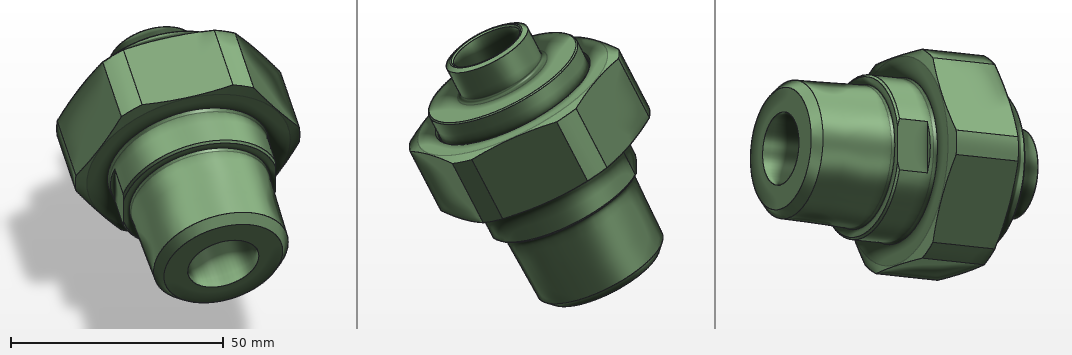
import cadquery as cq
import math

overall_length = 64.0
bore_radius = 17.3 / 2

tube_radius = 21.3 / 2
tube_end_face_outer_radius = 9.4
tube_end_face_inner_radius = 9.0
tube_outer_chamfer_length = 0.6
tube_inner_chamfer_length = 0.4
tube_fillet_radius = 1.0
collar_start = 8.95
collar_radius = 39.0 / 2
collar_chamfer = 0.3

nut_start = 14.5
nut_end = 32.9
nut_across_flats = 50.0
nut_corner_radius = 54.65 / 2
nut_face_radius = 24.8
nut_bevel_length = 0.8
nut_hole_radius = 39.5 / 2
nut_hole_chamfer = 0.45

seat_position = (nut_start + nut_end) / 2
shoulder_radius = collar_radius
relief_length = 0.9
shoulder_end = 42.95
shoulder_chamfer = 0.5
spigot_root_radius = 17.15
spigot_large_radius = 16.95
spigot_root_length = 0.8
spigot_small_radius = 16.4
spigot_tip_radius = 14.45
spigot_chamfer_start = 61.9
flat_start = 34.95
flat_distance = 18.5
flat_end_wall_slope = 0.4 / 1.5


def revolve_about_x(profile):
    """Revolve an XY profile a full turn about the X axis."""
    return profile.close().revolve(360, (0, 0, 0), (1, 0, 0))


def make_tail_piece():
    fillet_start = collar_start - tube_fillet_radius
    fillet_offset = tube_fillet_radius * math.sqrt(0.5)
    fillet_middle = (fillet_start + fillet_offset, tube_radius + tube_fillet_radius - fillet_offset)
    profile = (
        cq.Workplane("XY")
        .moveTo(tube_inner_chamfer_length, bore_radius)
        .lineTo(0, tube_end_face_inner_radius)
        .lineTo(0, tube_end_face_outer_radius)
        .lineTo(tube_outer_chamfer_length, tube_radius)
        .lineTo(fillet_start, tube_radius)
        .threePointArc(fillet_middle, (collar_start, tube_radius + tube_fillet_radius))
        .lineTo(collar_start, collar_radius - collar_chamfer)
        .lineTo(collar_start + collar_chamfer, collar_radius)
        .lineTo(seat_position, collar_radius)
        .lineTo(seat_position, bore_radius)
    )
    return revolve_about_x(profile)


def make_nut():
    hexagon = (
        cq.Workplane("YZ", origin=(nut_start, 0, 0))
        .polygon(6, nut_across_flats / math.cos(math.pi / 6))
        .extrude(nut_end - nut_start)
    )
    turned_profile = (
        cq.Workplane("XY")
        .moveTo(nut_start, nut_hole_radius + nut_hole_chamfer)
        .lineTo(nut_start, nut_face_radius)
        .lineTo(nut_start + nut_bevel_length, nut_corner_radius)
        .lineTo(nut_end - nut_bevel_length, nut_corner_radius)
        .lineTo(nut_end, nut_face_radius)
        .lineTo(nut_end, nut_hole_radius)
        .lineTo(nut_start + nut_hole_chamfer, nut_hole_radius)
    )
    return hexagon.intersect(revolve_about_x(turned_profile))


def make_wrench_flat_cutter():
    """Block that removes the material beyond the flat on the +Y side."""
    reach = 2 * (shoulder_radius - flat_distance)
    top = flat_distance + reach
    return (
        cq.Workplane("XY")
        .moveTo(flat_start, flat_distance)
        .lineTo(flat_start - reach * flat_end_wall_slope, top)
        .lineTo(shoulder_end, top)
        .lineTo(shoulder_end, flat_distance)
        .close()
        .extrude(shoulder_radius, both=True)
    )


def make_threaded_end():
    profile = (
        cq.Workplane("XY")
        .moveTo(seat_position, bore_radius)
        .lineTo(seat_position, nut_hole_radius)
        .lineTo(nut_end, nut_hole_radius)
        .lineTo(nut_end + relief_length, shoulder_radius)
        .lineTo(shoulder_end - shoulder_chamfer, shoulder_radius)
        .lineTo(shoulder_end, shoulder_radius - shoulder_chamfer)
        .lineTo(shoulder_end, spigot_root_radius)
        .lineTo(shoulder_end + spigot_root_length, spigot_large_radius)
        .lineTo(spigot_chamfer_start, spigot_small_radius)
        .lineTo(overall_length, spigot_tip_radius)
        .lineTo(overall_length, bore_radius)
    )
    body = revolve_about_x(profile)
    flat_cutter = make_wrench_flat_cutter()
    return body.cut(flat_cutter).cut(flat_cutter.mirror("XZ"))


tail_piece = make_tail_piece()
nut = make_nut()
threaded_end = make_threaded_end()

result = cq.Compound.makeCompound([tail_piece.val(), nut.val(), threaded_end.val()])